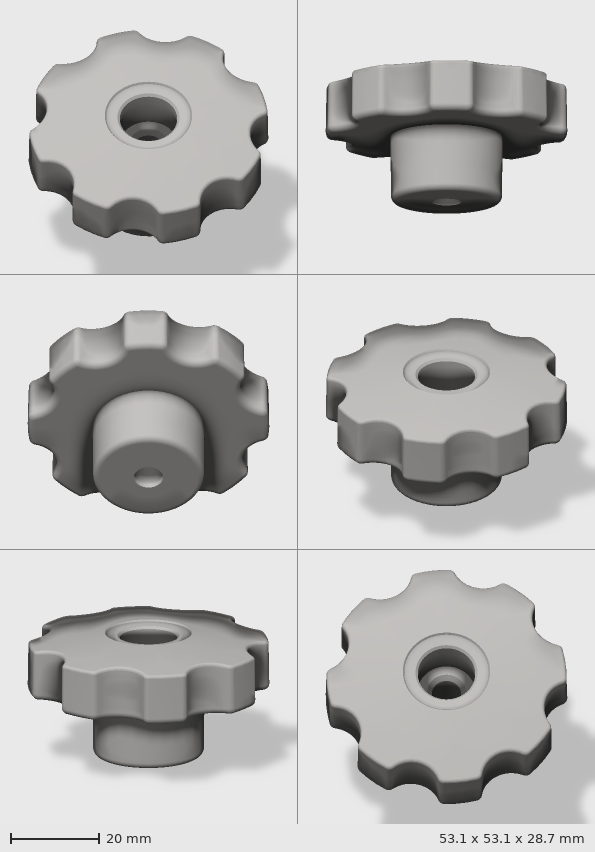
import cadquery as cq
import math

TOTAL_HEIGHT = 28.7
HEAD_BOTTOM = 15.1
HEAD_HEIGHT = TOTAL_HEIGHT - HEAD_BOTTOM

LOBE_COUNT = 8
HEAD_RADIUS = 27.4
HEAD_DRAFT = 1.0
NOTCH_FLOOR_RADIUS = 23.3
NOTCH_RADIUS = 6.75
LOBE_CORNER_FILLET = 1.5
HEAD_BOTTOM_FILLET = 1.4
HEAD_TOP_FILLET = 0.75
DOME_RADIUS = 154.05

HUB_DIAMETER = 25.45
HUB_DRAFT = 0.6
HUB_FILLET = 1.4

RECESS_RIM_DIAMETER = 19.8
RECESS_FLOOR_DIAMETER = 19.2
RECESS_WALL_DEPTH = 0.4
RECESS_CENTRE_DEPTH = 0.7
BORE_DIAMETER = 13.0
BORE_CHAMFER = 0.55
BORE_DEPTH = 10.1
HOLE_DIAMETER = 6.65
HOLE_CHAMFER = 1.05

RIM_RADIUS = RECESS_RIM_DIAMETER / 2
DOME_CENTRE = TOTAL_HEIGHT - math.sqrt(DOME_RADIUS**2 - RIM_RADIUS**2)


def make_blank():
    """Round head that narrows upwards and ends in a spherical dome."""
    cone = (
        cq.Workplane("XY", origin=(0, 0, HEAD_BOTTOM))
        .circle(HEAD_RADIUS)
        .extrude(2 * HEAD_HEIGHT, taper=HEAD_DRAFT)
    )
    dome = cq.Workplane("XY").sphere(DOME_RADIUS).translate((0, 0, DOME_CENTRE))
    return cone.intersect(dome)


def make_head():
    """Grip head with finger notches and rounded edges."""
    notches = (
        cq.Workplane("XY")
        .polarArray(NOTCH_FLOOR_RADIUS + NOTCH_RADIUS, 0, 360, LOBE_COUNT)
        .circle(NOTCH_RADIUS)
        .extrude(2 * TOTAL_HEIGHT)
    )
    head = make_blank().cut(notches)
    lower_corner = (-HEAD_RADIUS, -HEAD_RADIUS, HEAD_BOTTOM + HEAD_HEIGHT / 4)
    upper_corner = (HEAD_RADIUS, HEAD_RADIUS, TOTAL_HEIGHT - HEAD_HEIGHT / 4)
    lobe_corners = head.edges(cq.selectors.BoxSelector(lower_corner, upper_corner))
    head = lobe_corners.fillet(LOBE_CORNER_FILLET)
    head = head.faces("<Z").edges().fillet(HEAD_BOTTOM_FILLET)
    return head.faces("%SPHERE").edges().fillet(HEAD_TOP_FILLET)


def make_hub():
    """Drafted hub, narrowing downwards to a rounded end."""
    return (
        cq.Workplane("XY", origin=(0, 0, HEAD_BOTTOM))
        .circle(HUB_DIAMETER / 2)
        .extrude(-HEAD_BOTTOM, taper=HUB_DRAFT)
        .faces("<Z")
        .edges()
        .fillet(HUB_FILLET)
    )


def make_bore():
    """Revolved cutter: through hole, chamfered bore and shallow recess."""
    hole_radius = HOLE_DIAMETER / 2
    bore_radius = BORE_DIAMETER / 2
    bore_floor = TOTAL_HEIGHT - BORE_DEPTH
    bore_top = TOTAL_HEIGHT - RECESS_CENTRE_DEPTH
    above_dome = TOTAL_HEIGHT + HEAD_HEIGHT
    profile = [
        (0, 0),
        (hole_radius, 0),
        (hole_radius, bore_floor - HOLE_CHAMFER),
        (hole_radius + HOLE_CHAMFER, bore_floor),
        (bore_radius, bore_floor),
        (bore_radius, bore_top - BORE_CHAMFER),
        (bore_radius + BORE_CHAMFER, bore_top),
        (RECESS_FLOOR_DIAMETER / 2, TOTAL_HEIGHT - RECESS_WALL_DEPTH),
        (RIM_RADIUS, TOTAL_HEIGHT),
        (RIM_RADIUS, above_dome),
        (0, above_dome),
    ]
    return cq.Workplane("XZ").polyline(profile).close().revolve(360, (0, 0), (0, 1))


result = make_head().union(make_hub()).cut(make_bore()).solids()